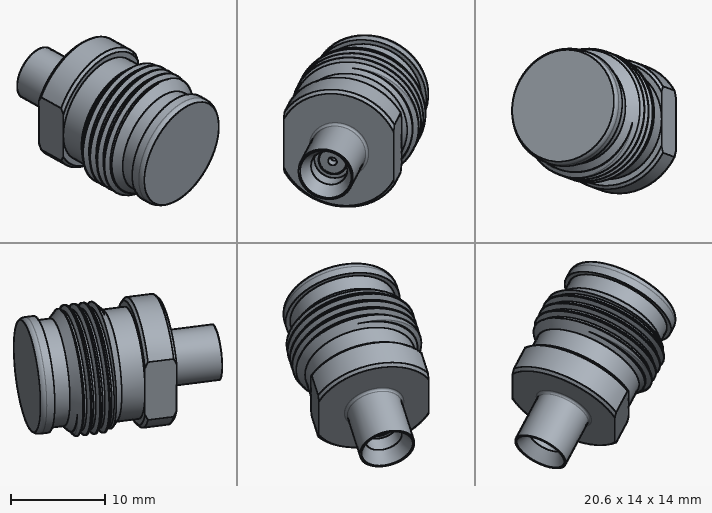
import cadquery as cq
import math

LENGTH = 20.58

TUBE_RADIUS = 2.98
TUBE_FILLET = 0.27
FLANGE_START = 5.72
FLANGE_END = 9.18
FLANGE_RADIUS = 7.0
FLANGE_CHAMFER = 0.33
FLAT_HALF_WIDTH = 6.0
SHOULDER_RADIUS = FLAT_HALF_WIDTH
SHOULDER_END = 11.7
NECK_RADIUS = 5.76
NECK_START = 17.3
COLLAR_START = 19.08
COLLAR_RADIUS = 6.25
COLLAR_ROUND_START = 19.98
COLLAR_END_RADIUS = 6.0

THREAD_RADIUS = FLANGE_RADIUS
PITCHES_PER_DIAMETER = 14
THREAD_PITCH = 2 * THREAD_RADIUS / PITCHES_PER_DIAMETER
THREAD_HALF_ANGLE = math.radians(30)
CREST_WIDTH = THREAD_PITCH / 8
ROOT_WIDTH = THREAD_PITCH / 4
THREAD_DEPTH = (THREAD_PITCH - CREST_WIDTH - ROOT_WIDTH) / (2 * math.tan(THREAD_HALF_ANGLE))
ROOT_RADIUS = THREAD_RADIUS - THREAD_DEPTH
GROOVE_START = 10.78
GROOVE_TURNS = 7
GROOVE_OVERSHOOT = 0.06

MOUTH_RADIUS = 2.8
BORE_RADIUS = 1.98
MOUTH_DEPTH = 1.46
BORE_DEPTH = 2.98
PIN_RADIUS = 1.48
PIN_GAP = 0.06
PIN_GAP_DEPTH = 0.2
PIN_HOLE_RADIUS = 0.47
PIN_HOLE_DEPTH = 1.03
DRILL_HALF_ANGLE = math.radians(59)


def make_outer_body():
    """Revolve the half profile, with 45 degree cones at both ends of the thread."""
    crest_start = SHOULDER_END + THREAD_RADIUS - SHOULDER_RADIUS
    crest_end = NECK_START - (THREAD_RADIUS - NECK_RADIUS)
    run = LENGTH - COLLAR_ROUND_START
    drop = COLLAR_RADIUS - COLLAR_END_RADIUS
    profile = (
        cq.Workplane("XY")
        .moveTo(0, 0)
        .lineTo(0, TUBE_RADIUS)
        .lineTo(FLANGE_START - TUBE_FILLET, TUBE_RADIUS)
        .tangentArcPoint((TUBE_FILLET, TUBE_FILLET))
        .lineTo(FLANGE_START, FLANGE_RADIUS - FLANGE_CHAMFER)
        .lineTo(FLANGE_START + FLANGE_CHAMFER, FLANGE_RADIUS)
        .lineTo(FLANGE_END - FLANGE_CHAMFER, FLANGE_RADIUS)
        .lineTo(FLANGE_END, FLANGE_RADIUS - FLANGE_CHAMFER)
        .lineTo(FLANGE_END, SHOULDER_RADIUS)
        .lineTo(SHOULDER_END, SHOULDER_RADIUS)
        .lineTo(crest_start, THREAD_RADIUS)
        .lineTo(crest_end, THREAD_RADIUS)
        .lineTo(NECK_START, NECK_RADIUS)
        .lineTo(COLLAR_START, NECK_RADIUS)
        .lineTo(COLLAR_START, COLLAR_RADIUS)
        .lineTo(COLLAR_ROUND_START, COLLAR_RADIUS)
        .tangentArcPoint((run, -drop))
        .lineTo(LENGTH, 0)
        .close()
    )
    return profile.revolve(360, (0, 0, 0), (1, 0, 0))


def cut_flats(body):
    """Trim the flange to two flats facing -Y and +Y."""
    width = FLANGE_END - FLANGE_START
    depth = 2 * (FLANGE_RADIUS - FLAT_HALF_WIDTH)
    centre_x = (FLANGE_START + FLANGE_END) / 2
    centre_y = FLAT_HALF_WIDTH + depth / 2
    trim = cq.Workplane("XY").box(width, depth, 2 * FLANGE_RADIUS)
    for side in (-1, 1):
        body = body.cut(trim.translate((centre_x, side * centre_y, 0)))
    return body


def make_thread_groove():
    """Sweep the groove section along a helix about X that starts on the +Y side."""
    helix = cq.Wire.makeHelix(THREAD_PITCH, THREAD_PITCH * GROOVE_TURNS, ROOT_RADIUS)
    outer_radius = THREAD_RADIUS + GROOVE_OVERSHOOT
    root_half = ROOT_WIDTH / 2
    outer_half = root_half + (outer_radius - ROOT_RADIUS) * math.tan(THREAD_HALF_ANGLE)
    groove = (
        cq.Workplane("XZ")
        .polyline([
            (ROOT_RADIUS, -root_half),
            (outer_radius, -outer_half),
            (outer_radius, outer_half),
            (ROOT_RADIUS, root_half),
        ])
        .close()
        .sweep(cq.Workplane(obj=helix), isFrenet=True)
    )
    groove = groove.rotate((0, 0, 0), (1, 1, 1), 120)
    return groove.translate((GROOVE_START, 0, 0))


def make_bore():
    """Conical mouth, bore, ring gap around the centre pin and the pin's drilled hole."""
    gap_floor = BORE_DEPTH + PIN_GAP_DEPTH
    hole_end = BORE_DEPTH + PIN_HOLE_DEPTH
    tip = hole_end + PIN_HOLE_RADIUS / math.tan(DRILL_HALF_ANGLE)
    profile = (
        cq.Workplane("XY")
        .polyline([
            (0, 0),
            (0, MOUTH_RADIUS),
            (MOUTH_DEPTH, BORE_RADIUS),
            (BORE_DEPTH, BORE_RADIUS),
            (BORE_DEPTH, PIN_RADIUS + PIN_GAP),
            (gap_floor, PIN_RADIUS + PIN_GAP),
            (gap_floor, PIN_RADIUS),
            (BORE_DEPTH, PIN_RADIUS),
            (BORE_DEPTH, PIN_HOLE_RADIUS),
            (hole_end, PIN_HOLE_RADIUS),
            (tip, 0),
        ])
        .close()
    )
    return profile.revolve(360, (0, 0, 0), (1, 0, 0))


body = cut_flats(make_outer_body())
body = body.cut(make_thread_groove())
result = body.cut(make_bore())